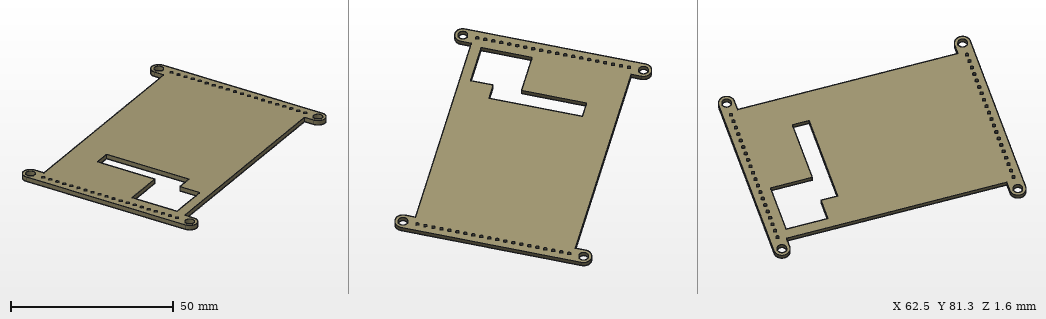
import cadquery as cq

thickness = 1.6
pitch = 2.54
pin_count = 20
pin_diameter = 1.0
body_width = pin_count * pitch
rows_apart_in_pitches = 30
row_spacing = rows_apart_in_pitches * pitch

strip_length = 62.48
strip_width = 2 * pitch

mount_diameter = 3.0
mount_spacing = strip_length - strip_width

slot_width = 29.7
slot_height = 5.4
slot_top = -15.75
opening_left = 5.85
opening_width = 16.2
opening_height = 13.5


def end_strip(y):
    """Round-ended strip lying along X at the given Y."""
    return (
        cq.Workplane("XY")
        .center(0, y)
        .slot2D(strip_length, strip_width)
        .extrude(thickness)
    )


def board():
    """Rectangular body carrying a strip at each end."""
    body = cq.Workplane("XY").rect(body_width, row_spacing).extrude(thickness)
    for y in (-row_spacing / 2, row_spacing / 2):
        body = body.union(end_strip(y))
    return body


def pin_holes():
    """Two rows of pin holes on the strip centre lines."""
    return (
        cq.Workplane("XY")
        .rarray(pitch, row_spacing, pin_count, 2)
        .circle(pin_diameter / 2)
        .extrude(thickness)
    )


def mount_holes():
    """One mounting hole at each corner."""
    return (
        cq.Workplane("XY")
        .rarray(mount_spacing, row_spacing, 2, 2)
        .circle(mount_diameter / 2)
        .extrude(thickness)
    )


def window():
    """Through opening with a stepped outline."""
    slot_left = -slot_width / 2
    slot_right = slot_width / 2
    slot_bottom = slot_top - slot_height
    opening_right = opening_left + opening_width
    opening_bottom = slot_bottom - opening_height
    return (
        cq.Workplane("XY")
        .moveTo(slot_left, slot_top)
        .lineTo(slot_right, slot_top)
        .lineTo(slot_right, slot_bottom)
        .lineTo(opening_right, slot_bottom)
        .lineTo(opening_right, opening_bottom)
        .lineTo(opening_left, opening_bottom)
        .lineTo(opening_left, slot_bottom)
        .lineTo(slot_left, slot_bottom)
        .close()
        .extrude(thickness)
    )


result = board().cut(pin_holes()).cut(mount_holes()).cut(window())